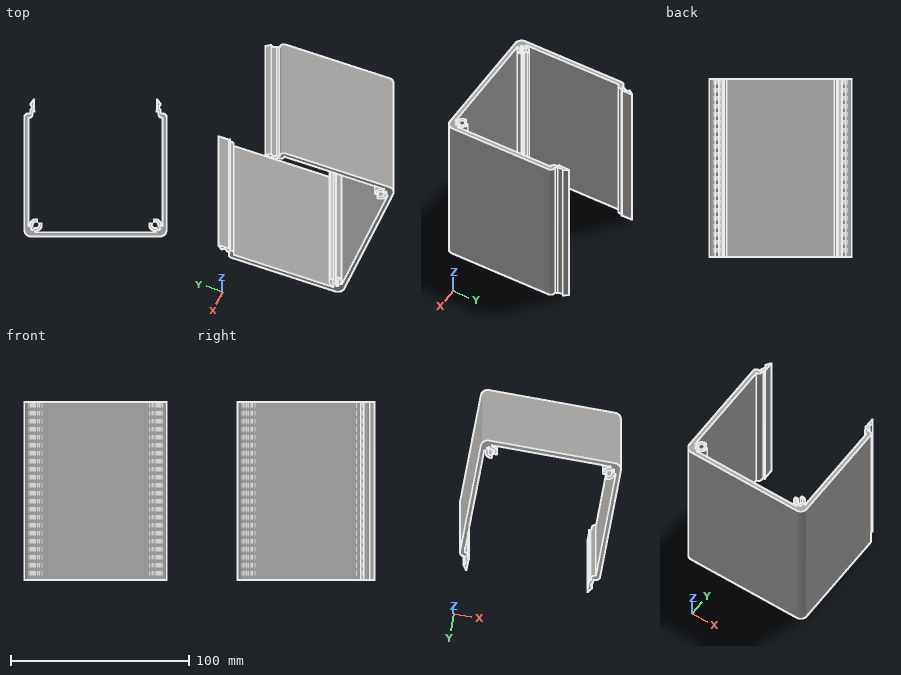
import cadquery as cq

length = 100.0
width = 80.0
depth = 77.0
wall = 2.5
corner_radius = 4.0

shoulder_y = 69.2
shoulder_radius = 2.3
step_bottom_y = 66.6
step_inner_radius = 2.0

clip_outer_x = 3.3
clip_neck_x = 4.7
clip_inner_x = 5.6
tip_width = 0.3
barb_y = 74.2
groove_x = 4.2
groove_y = 72.6
groove_bottom_y = 70.9
lip_x = 5.9
lip_top_y = 70.8
lip_point_y = 70.4
lip_bottom_y = 70.1

screw_center = 6.6
screw_outer_radius = 3.3
screw_bore_radius = 1.8
web_end = 6.1
relief_width = 1.3
relief_reach = 3.5
mouth_start = 7.4


def box(x0, y0, x1, y1):
    """Full-length block between two opposite corners of the profile."""
    return cq.Workplane("XY").box(x1 - x0, y1 - y0, length, centered=False).translate((x0, y0, 0))


def make_channel():
    """Base and side walls with rounded outer corners, up to the shoulders."""
    outer = box(0, 0, width, step_bottom_y).edges("|Z and <Y").fillet(corner_radius)
    return outer.cut(box(wall, wall, width - wall, depth))


def make_clip():
    """Shoulder and barbed snap clip on top of the left wall."""
    shoulder_start_y = shoulder_y - shoulder_radius
    return (
        cq.Workplane("XY")
        .moveTo(0, step_bottom_y)
        .lineTo(0, shoulder_start_y)
        .radiusArc((shoulder_radius, shoulder_y), shoulder_radius)
        .lineTo(clip_outer_x, shoulder_y)
        .lineTo(clip_outer_x, groove_bottom_y)
        .threePointArc((groove_x, groove_y), (clip_outer_x, barb_y))
        .lineTo(clip_inner_x - tip_width, depth)
        .lineTo(clip_inner_x, depth)
        .lineTo(clip_inner_x, lip_top_y)
        .lineTo(lip_x, lip_point_y)
        .lineTo(lip_x, lip_bottom_y)
        .lineTo(clip_neck_x, lip_bottom_y)
        .lineTo(clip_neck_x, step_bottom_y + step_inner_radius)
        .radiusArc((clip_neck_x - step_inner_radius, step_bottom_y), step_inner_radius)
        .close()
        .extrude(length)
    )


def make_cylinder(radius):
    """Full-length cylinder on the left screw axis."""
    return cq.Workplane("XY").center(screw_center, screw_center).circle(radius).extrude(length)


def add_screw_channel(body):
    """Split ring, corner web and diagonal relief slot in the left base corner."""
    ring_end = screw_center + screw_outer_radius
    mouth = box(mouth_start, mouth_start, ring_end, ring_end)
    ring = make_cylinder(screw_outer_radius).cut(mouth)
    web = box(wall, wall, web_end, web_end)
    relief = box(-relief_reach, -relief_width / 2, 0, relief_width / 2)
    relief = relief.rotate((0, 0, 0), (0, 0, 1), 45).translate((screw_center, screw_center, 0))
    return body.union(web).union(ring).cut(make_cylinder(screw_bore_radius)).cut(relief)


half = add_screw_channel(make_channel().union(make_clip()))
half = half.intersect(box(0, 0, width / 2, depth))
half = half.translate((-width / 2, 0, 0))
result = half.union(half.mirror("YZ"))